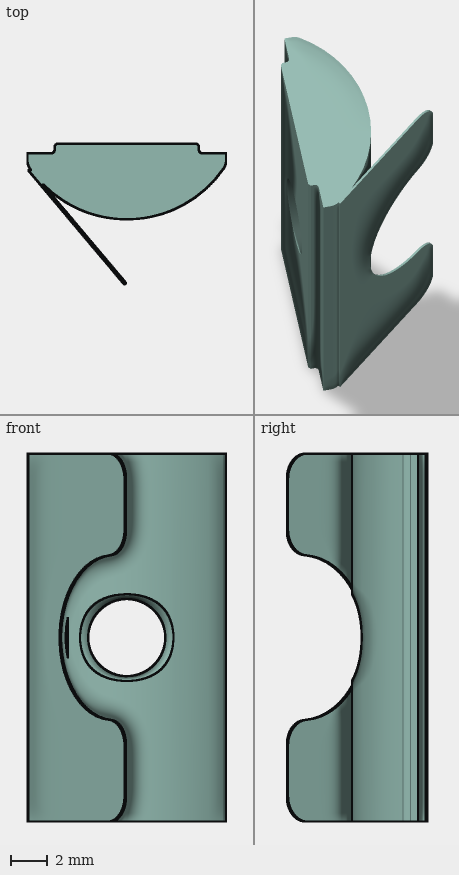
import cadquery as cq
import math

length = 20.0
half_width = 5.4
body_depth = 4.12
front_radius = 6.4
side_fillet = 0.72

land_half_width = 3.92
land_height = 0.52
land_chamfer = 0.12
land_root_fillet = 0.2

hole_diameter = 4.18
countersink_floor_y = -3.25
countersink_half_width = 3.2
countersink_half_height = 2.35

leaf_angle = 49.9
leaf_thickness = 0.12
leaf_embed = 0.02
leaf_tip_y = -7.65
leaf_root_overhang = 0.58
leaf_corner_radius = 1.35
notch_radius = 4.48
notch_center_depth = 1.0
notch_depth = 0.38

front_center_y = front_radius - body_depth

angle = math.radians(leaf_angle)
along = cq.Vector(math.cos(angle), -math.sin(angle), 0)
outward = cq.Vector(-math.sin(angle), -math.cos(angle), 0)
tangent_point = cq.Vector(0, front_center_y, 0) + outward * front_radius

outer_corner_y = (tangent_point + outward * (leaf_thickness - leaf_embed)).y
reach = (outer_corner_y - leaf_tip_y) / math.sin(angle)


def make_body():
    side_end_y = front_center_y - math.sqrt(front_radius**2 - half_width**2)
    body = (
        cq.Workplane("XY")
        .moveTo(-half_width, -land_height)
        .lineTo(-half_width, side_end_y)
        .threePointArc((0, -body_depth), (half_width, side_end_y))
        .lineTo(half_width, -land_height)
        .close()
        .extrude(length / 2, both=True)
    )
    for side in (-1, 1):
        corner = cq.selectors.NearestToPointSelector((side * half_width, side_end_y, 0))
        body = body.edges(corner).fillet(side_fillet)
    return body


def make_land():
    land = (
        cq.Workplane("XY")
        .center(0, -land_height)
        .rect(2 * land_half_width, 2 * land_height)
        .extrude(length / 2, both=True)
    )
    return land.edges("|Z and >Y").chamfer(land_chamfer)


def cut_hole(body):
    hole = cq.Workplane("XZ").circle(hole_diameter / 2).extrude(2 * body_depth, both=True)
    body = body.cut(hole)
    countersink = (
        cq.Workplane("XZ", origin=(0, countersink_floor_y, 0))
        .circle(hole_diameter / 2)
        .workplane(offset=countersink_floor_y + body_depth)
        .ellipse(countersink_half_width, countersink_half_height)
        .loft(ruled=True)
    )
    return body.cut(countersink)


def leaf_sketch(center_along, depth):
    """Workplane parallel to the leaf, sunk below the tangent plane: local x points to the free edge."""
    origin = tangent_point + outward * -depth
    plane = cq.Plane(origin=origin.toTuple(), xDir=along.toTuple(), normal=outward.toTuple())
    return cq.Workplane(plane).center(center_along, 0)


def make_leaf():
    root = -leaf_root_overhang
    sheet = (
        leaf_sketch((root + reach) / 2, leaf_embed)
        .rect(reach - root, length)
        .extrude(leaf_thickness)
    )
    mouth = (
        leaf_sketch(reach, leaf_embed)
        .rect(2 * notch_center_depth, 2 * notch_radius)
        .extrude(leaf_thickness)
    )
    leaf = sheet.cut(make_notch()).cut(mouth)
    across_edges = leaf.edges(cq.selectors.ParallelDirSelector(outward))
    return across_edges.edges(cq.selectors.DirectionMinMaxSelector(along)).fillet(leaf_corner_radius)


def make_notch():
    return (
        leaf_sketch(reach - notch_center_depth, notch_depth)
        .circle(notch_radius)
        .extrude(notch_depth + leaf_thickness)
    )


body = make_body().union(make_land())
for side in (-1, 1):
    land_root = cq.selectors.NearestToPointSelector((side * land_half_width, -land_height, 0))
    body = body.edges(land_root).fillet(land_root_fillet)
body = cut_hole(body)
result = body.cut(make_notch()).union(make_leaf())